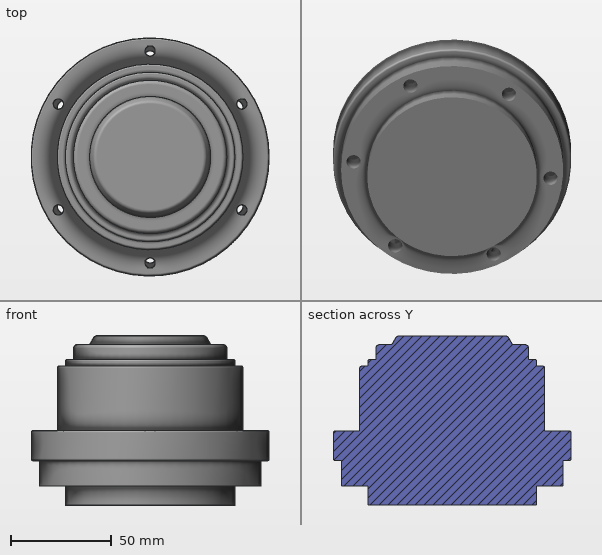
import cadquery as cq

FOOT_RADIUS = 42.0
SKIRT_RADIUS = 55.0
FLANGE_RADIUS = 59.0
BARREL_RADIUS = 46.0
RING_RADIUS = 42.0
CAP_RADIUS = 38.0
DOME_BASE_RADIUS = 30.0
DOME_TOP_RADIUS = 27.5

FOOT_TOP = 9.5
SKIRT_TOP = 22.0
FLANGE_TOP = 37.0
BARREL_TOP = 69.0
RING_TOP = 72.3
CAP_TOP = 79.7
DOME_TOP = 84.0

EDGE_ROUND = 1.0
CAP_ROUND = 2.0
DOME_ROUND = 2.0

HOLE_COUNT = 6
FIRST_HOLE_ANGLE = 90.0
FLANGE_HOLE_DIAMETER = 5.0
FLANGE_HOLE_CIRCLE_RADIUS = 52.5
SKIRT_HOLE_DIAMETER = 7.0
SKIRT_HOLE_CIRCLE_RADIUS = 49.0


def disc(radius, bottom, top):
    """Cylinder about Z between two levels."""
    return cq.Workplane("XY").workplane(offset=bottom).circle(radius).extrude(top - bottom)


def hole_ring(diameter, circle_radius, bottom, top):
    """Ring of vertical hole cutters between two levels."""
    return (
        cq.Workplane("XY")
        .workplane(offset=bottom)
        .polarArray(circle_radius, FIRST_HOLE_ANGLE, 360, HOLE_COUNT)
        .circle(diameter / 2)
        .extrude(top - bottom)
    )


def skirt():
    """Disc below the flange with its own ring of holes."""
    holes = hole_ring(SKIRT_HOLE_DIAMETER, SKIRT_HOLE_CIRCLE_RADIUS, FOOT_TOP, SKIRT_TOP)
    return disc(SKIRT_RADIUS, FOOT_TOP, SKIRT_TOP).cut(holes)


def flange():
    """Disc with both rims rounded, drilled with the bolt holes."""
    plate = disc(FLANGE_RADIUS, SKIRT_TOP, FLANGE_TOP).faces("<Z or >Z").edges().fillet(EDGE_ROUND)
    holes = hole_ring(FLANGE_HOLE_DIAMETER, FLANGE_HOLE_CIRCLE_RADIUS, SKIRT_TOP, FLANGE_TOP)
    return plate.cut(holes)


def rounded_stage(radius, bottom, top, rounding):
    """Disc with its upper rim rounded."""
    return disc(radius, bottom, top).faces(">Z").edges().fillet(rounding)


def dome():
    """Shallow cone with its upper rim rounded."""
    cone = cq.Workplane(
        cq.Solid.makeCone(
            DOME_BASE_RADIUS,
            DOME_TOP_RADIUS,
            DOME_TOP - CAP_TOP,
            pnt=cq.Vector(0, 0, CAP_TOP),
        )
    )
    return cone.faces(">Z").edges().fillet(DOME_ROUND)


result = (
    disc(FOOT_RADIUS, 0, FOOT_TOP)
    .union(skirt())
    .union(flange())
    .union(rounded_stage(BARREL_RADIUS, FLANGE_TOP, BARREL_TOP, EDGE_ROUND))
    .union(rounded_stage(RING_RADIUS, BARREL_TOP, RING_TOP, EDGE_ROUND))
    .union(rounded_stage(CAP_RADIUS, RING_TOP, CAP_TOP, CAP_ROUND))
    .union(dome())
)